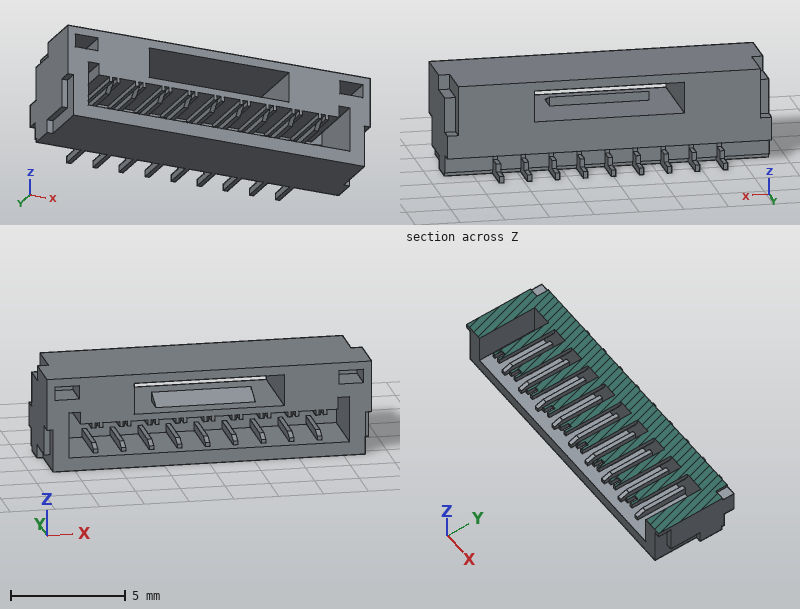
import cadquery as cq


LENGTH = 14.5
DEPTH = 4.06
HEIGHT = 4.25

LEDGE_Z = 0.97
LEDGE_Y = 3.54
FOOT_Z = 0.19
FOOT_Y = 3.41

CAVITY_WIDTH = 12.53
CAVITY_DEPTH = 2.97
FLOOR_Z = 0.61
CEILING_Z = 2.13
KEYWAY_Z = 2.67
KEYWAY_WIDTH = 0.51

WINDOW_WIDTH = 6.7
SILL_Z = 2.44
WINDOW_TOP_Z = 3.84
WEDGE_WIDTH = 4.44
WEDGE_HEIGHT = 0.4
WEDGE_FRONT_Y = 0.8
WEDGE_LENGTH = 1.02

POCKET_WIDTH = 1.09
POCKET_EDGE = 0.36
POCKET_BOTTOM_Z = 3.28
POCKET_TOP_Z = 3.89
POCKET_DEPTH = 1.45

REAR_RECESS = 0.5
REAR_FRONT_Y = 2.15
REAR_INNER_Y = 3.45
REAR_SHELF_Z = 3.58
REAR_BOTTOM_Z = 2.02

FRONT_RECESS = 0.28
FRONT_BACK_Y = 2.23
FRONT_INNER_Y = 0.65
FRONT_SHELF_Z = 0.61
FRONT_TOP_Z = 1.93
PLATE_THICKNESS = 0.23
PLATE_TOP_Z = 2.06

PIN_COUNT = 9
PIN_ROW_LENGTH = 10.0
PIN_PITCH = PIN_ROW_LENGTH / (PIN_COUNT - 1)
PIN_WIDTH = 0.2
PIN_TIP_Y = 0.39
PIN_REAR_Y = 3.57
PIN_ROOT_Y = 3.19
LOWER_BOTTOM_Z = 0.65
LOWER_TIP_Z = 0.83
LOWER_TOP_Z = 1.0
LOWER_RAMP = 0.44
UPPER_TIP_Z = 2.06
UPPER_BOTTOM_Z = 1.67
UPPER_RAMP = 0.39
TAIL_END_Y = 4.95
TAIL_STEP_Y = 4.23
TAIL_STEP_Z = 0.67
TAIL_TOP_Z = 0.3

RIB_WIDTH = 0.5
RIB_BOTTOM_Z = 1.91


def block(x0, x1, y0, y1, z0, z1):
    """Box between two opposite corners."""
    return cq.Workplane("XY").box(x1 - x0, y1 - y0, z1 - z0, centered=False).translate((x0, y0, z0))


def profile(points, x0, width):
    """Closed (Y, Z) outline extruded along +X from x0."""
    return cq.Workplane("YZ").polyline(points).close().extrude(width).translate((x0, 0, 0))


def both_ends(solid):
    """The solid together with its mirror image at the other end of the part."""
    return solid.union(solid.mirror("YZ"))


def housing_shell():
    outline = [
        (0, 0),
        (FOOT_Y, 0),
        (FOOT_Y, FOOT_Z),
        (LEDGE_Y, FOOT_Z),
        (LEDGE_Y, LEDGE_Z),
        (DEPTH, LEDGE_Z),
        (DEPTH, HEIGHT),
        (0, HEIGHT),
    ]
    return profile(outline, -LENGTH / 2, LENGTH)


def cavity():
    half = CAVITY_WIDTH / 2
    main = block(-half, half, 0, CAVITY_DEPTH, FLOOR_Z, CEILING_Z)
    keyway = block(-half, -half + KEYWAY_WIDTH, 0, CAVITY_DEPTH, FLOOR_Z, KEYWAY_Z)
    return main.union(both_ends(keyway))


def window():
    return block(-WINDOW_WIDTH / 2, WINDOW_WIDTH / 2, 0, DEPTH, SILL_Z, WINDOW_TOP_Z)


def corner_pockets():
    x0 = -LENGTH / 2 + POCKET_EDGE
    return both_ends(block(x0, x0 + POCKET_WIDTH, 0, POCKET_DEPTH, POCKET_BOTTOM_Z, POCKET_TOP_Z))


def rear_recesses():
    outline = [
        (REAR_FRONT_Y, HEIGHT),
        (REAR_FRONT_Y, REAR_SHELF_Z),
        (REAR_INNER_Y, REAR_SHELF_Z),
        (REAR_INNER_Y, REAR_BOTTOM_Z),
        (DEPTH, REAR_BOTTOM_Z),
        (DEPTH, HEIGHT),
    ]
    return both_ends(profile(outline, -LENGTH / 2, REAR_RECESS))


def front_corner_outline(top_z):
    """L-shaped outline around the lower front corner of an end face."""
    return [
        (0, 0),
        (FRONT_BACK_Y, 0),
        (FRONT_BACK_Y, FRONT_SHELF_Z),
        (FRONT_INNER_Y, FRONT_SHELF_Z),
        (FRONT_INNER_Y, top_z),
        (0, top_z),
    ]


def front_recesses():
    return both_ends(profile(front_corner_outline(FRONT_TOP_Z), -LENGTH / 2, FRONT_RECESS))


def solder_plates():
    x0 = -LENGTH / 2 + FRONT_RECESS
    return both_ends(profile(front_corner_outline(PLATE_TOP_Z), x0, PLATE_THICKNESS))


def wedge():
    y1 = WEDGE_FRONT_Y + WEDGE_LENGTH
    outline = [(WEDGE_FRONT_Y, SILL_Z), (y1, SILL_Z), (y1, SILL_Z + WEDGE_HEIGHT)]
    return profile(outline, -WEDGE_WIDTH / 2, WEDGE_WIDTH)


def slotted_rib(x):
    rib = block(x - RIB_WIDTH / 2, x + RIB_WIDTH / 2, 0, CAVITY_DEPTH, RIB_BOTTOM_Z, CEILING_Z)
    slot = block(x - PIN_WIDTH / 2, x + PIN_WIDTH / 2, 0, CAVITY_DEPTH, RIB_BOTTOM_Z, CEILING_Z)
    return rib.cut(slot)


def pin(x):
    x0 = x - PIN_WIDTH / 2
    lower_prong_and_tail = [
        (PIN_TIP_Y, LOWER_BOTTOM_Z),
        (PIN_TIP_Y, LOWER_TIP_Z),
        (PIN_TIP_Y + LOWER_RAMP, LOWER_TOP_Z),
        (PIN_REAR_Y, LOWER_TOP_Z),
        (PIN_REAR_Y, TAIL_STEP_Z),
        (TAIL_STEP_Y, TAIL_STEP_Z),
        (TAIL_STEP_Y, TAIL_TOP_Z),
        (TAIL_END_Y, TAIL_TOP_Z),
        (TAIL_END_Y, 0),
        (PIN_ROOT_Y, 0),
        (PIN_ROOT_Y, LOWER_BOTTOM_Z),
    ]
    upper_prong = [
        (PIN_TIP_Y, CEILING_Z),
        (PIN_TIP_Y, UPPER_TIP_Z),
        (PIN_TIP_Y + UPPER_RAMP, UPPER_BOTTOM_Z),
        (PIN_ROOT_Y, UPPER_BOTTOM_Z),
        (PIN_ROOT_Y, CEILING_Z),
    ]
    return profile(lower_prong_and_tail, x0, PIN_WIDTH).union(profile(upper_prong, x0, PIN_WIDTH))


housing = housing_shell().cut(cavity()).cut(window()).cut(corner_pockets())
housing = housing.cut(rear_recesses()).cut(front_recesses())
housing = housing.union(wedge())

for index in range(PIN_COUNT):
    pin_x = -PIN_ROW_LENGTH / 2 + index * PIN_PITCH
    housing = housing.union(slotted_rib(pin_x)).union(pin(pin_x))

result = housing.cut(solder_plates()).union(solder_plates(), clean=False)